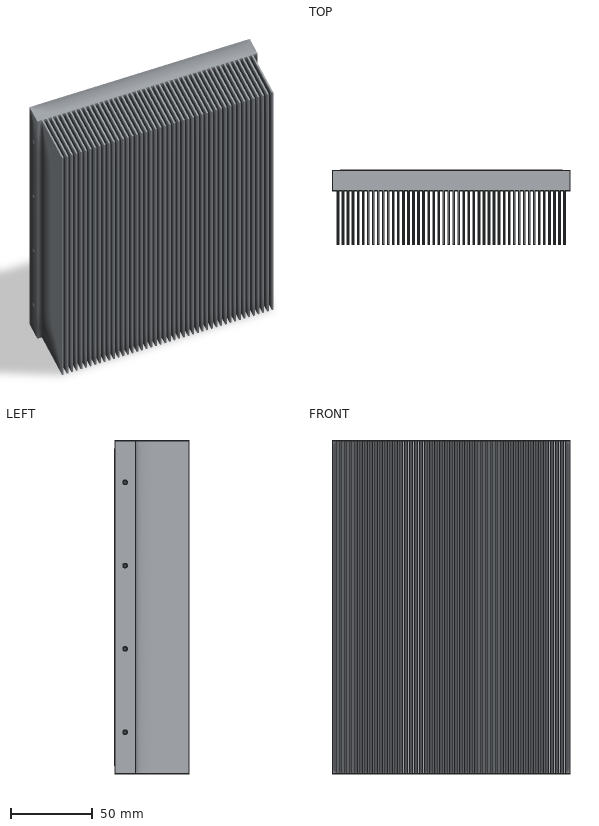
import cadquery as cq
import math

width = 145.0
depth = 45.7
length = 203.2

plate_thickness = 0.3
plate_inset = 5.0

base_thickness = 12.5
fin_count = 46
fin_thickness = 1.0
fin_row_span = 138.2

hole_count = 4
tap_diameter = 2.8
tap_depth = 8.1
drill_diameter = 2.2
drill_depth = 10.2
drill_point_angle = 118.0

back_y = depth / 2
base_back_y = back_y - plate_thickness
base_front_y = base_back_y - base_thickness
base_middle_y = (base_back_y + base_front_y) / 2
fin_height = depth - plate_thickness - base_thickness
fin_pitch = fin_row_span / (fin_count - 1)
hole_pitch = length / hole_count


def block(size_x, size_y, size_z, center_x, center_y):
    """Box centred on Z = 0, placed by its centre in X and Y."""
    return cq.Workplane("XY").box(size_x, size_y, size_z).translate((center_x, center_y, 0))


def make_fins():
    """Evenly spaced thin fins that reach from the base to the front."""
    first_x = -fin_row_span / 2
    center_y = base_front_y - fin_height / 2
    fin_centers = [(first_x + i * fin_pitch, center_y) for i in range(fin_count)]
    return (
        cq.Workplane("XY", origin=(0, 0, -length / 2))
        .pushPoints(fin_centers)
        .rect(fin_thickness, fin_height)
        .extrude(length)
    )


def make_side_hole(z):
    """Cutter for one blind hole from the -X side face: tapped bore, narrower drilled bore, drill point."""
    tap_radius = tap_diameter / 2
    drill_radius = drill_diameter / 2
    point_depth = drill_radius / math.tan(math.radians(drill_point_angle / 2))
    half_profile = [
        (0, 0),
        (0, tap_radius),
        (tap_depth, tap_radius),
        (tap_depth, drill_radius),
        (drill_depth, drill_radius),
        (drill_depth + point_depth, 0),
    ]
    return (
        cq.Workplane("XY", origin=(-width / 2, base_middle_y, z))
        .polyline(half_profile)
        .close()
        .revolve(360, (0, 0, 0), (1, 0, 0))
    )


def make_heat_sink():
    """Base slab and its fins as one body, with a row of holes in each side face."""
    body = block(width, base_thickness, length, 0, base_middle_y).union(make_fins())
    for i in range(hole_count):
        hole = make_side_hole((i - (hole_count - 1) / 2) * hole_pitch)
        body = body.cut(hole).cut(hole.mirror("YZ"))
    return body.solids()


def make_plate():
    """Thin plate lying on the back of the base, set in by the same margin all round."""
    return block(
        width - 2 * plate_inset,
        plate_thickness,
        length - 2 * plate_inset,
        0,
        back_y - plate_thickness / 2,
    )


heat_sink = make_heat_sink()
plate = make_plate()

result = cq.Compound.makeCompound([heat_sink.val(), plate.val()])